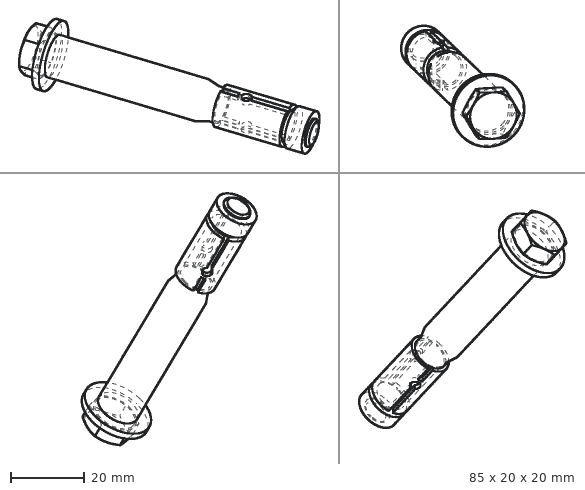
import cadquery as cq
import math

head_end = 5.4
washer_end = 7.5
shank_end = 51.6
neck_start = 55.1
sleeve_start = 57.5
sleeve_end = 77.35
cone_end = 78.9
collar_end = 84.0
tip_bevel_start = 84.3
bolt_end = 85.0

head_across_flats = 13.0
head_across_corners = head_across_flats / math.cos(math.pi / 6)
head_bevel_angle = math.radians(30)
head_bevel_width = (head_across_corners - head_across_flats) / 2
head_bevel_length = head_bevel_width * math.tan(head_bevel_angle)

washer_diameter = 20.0
body_radius = 6.0
neck_radius = 5.0
core_radius = body_radius - (cone_end - sleeve_end)
tip_radius = 4.0
tip_end_radius = 3.3

slot_width = 1.4
front_slot_end = 62.6
relief_hole_x = 64.9
relief_hole_radius = 1.45


def make_head():
    """Hexagon with corners on the Y axis, its corners bevelled at both ends."""
    hexagon = cq.Workplane("YZ").polygon(6, head_across_corners).extrude(head_end)
    flat_radius = head_across_flats / 2
    corner_radius = head_across_corners / 2
    bevel_envelope = (
        cq.Workplane("XY")
        .polyline([
            (0, 0),
            (0, flat_radius),
            (head_bevel_length, corner_radius),
            (head_end - head_bevel_length, corner_radius),
            (head_end, flat_radius),
            (head_end, 0),
        ])
        .close()
        .revolve(360, (0, 0, 0), (1, 0, 0))
    )
    return hexagon.intersect(bevel_envelope)


def make_bolt():
    """Head and turned shank, with a waist for the sleeve and a conical collar."""
    shank = (
        cq.Workplane("XY")
        .polyline([
            (head_end, 0),
            (head_end, body_radius),
            (shank_end, body_radius),
            (neck_start, neck_radius),
            (sleeve_start, neck_radius),
            (sleeve_start, core_radius),
            (sleeve_end, core_radius),
            (cone_end, body_radius),
            (collar_end, body_radius),
            (collar_end, tip_radius),
            (tip_bevel_start, tip_radius),
            (bolt_end, tip_end_radius),
            (bolt_end, 0),
        ])
        .close()
        .revolve(360, (0, 0, 0), (1, 0, 0))
    )
    return make_head().union(shank)


def make_ring(start, end, outer_radius, inner_radius):
    """Plain ring around the X axis."""
    return (
        cq.Workplane("YZ", origin=(start, 0, 0))
        .circle(outer_radius)
        .circle(inner_radius)
        .extrude(end - start)
    )


def make_slot(start, end):
    """Cutter for a slot across both the top and bottom of the sleeve."""
    return cq.Workplane("XY").box(
        end - start, slot_width, 2 * washer_diameter, centered=(False, True, True)
    ).translate((start, 0, 0))


def make_expansion_sleeve():
    """Sleeve slotted from both ends, the longer slots ending in relief holes."""
    sleeve = make_ring(sleeve_start, sleeve_end, body_radius, core_radius)
    relief_hole = (
        cq.Workplane("XY")
        .center(relief_hole_x, 0)
        .circle(relief_hole_radius)
        .extrude(washer_diameter, both=True)
    )
    return (
        sleeve
        .cut(make_slot(sleeve_start, front_slot_end))
        .cut(make_slot(relief_hole_x, sleeve_end))
        .cut(relief_hole)
    )


bolt = make_bolt()
washer = make_ring(head_end, washer_end, washer_diameter / 2, body_radius)
expansion_sleeve = make_expansion_sleeve()

result = cq.Compound.makeCompound([bolt.val(), washer.val(), expansion_sleeve.val()])